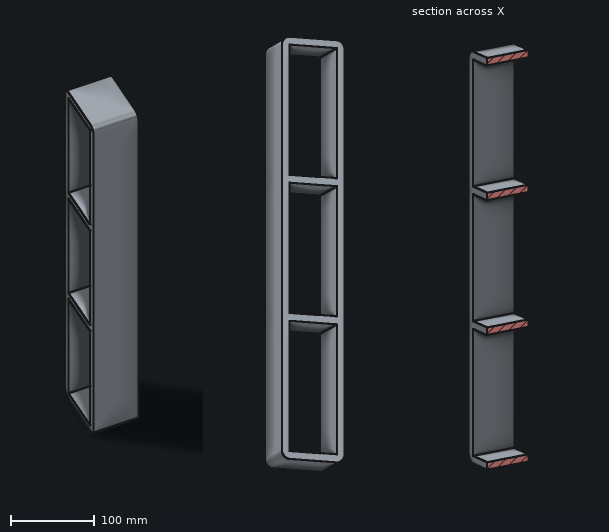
import cadquery as cq

width = 80.5
depth = 60.0
height = 518.5

wall = 10.0
corner_radius = 10.0
bay_count = 3

bay_width = width - 2 * wall
bay_height = (height - (bay_count + 1) * wall) / bay_count
bay_pitch = bay_height + wall


def make_body():
    """Upright block, centred on the origin, with its four front-to-back edges rounded."""
    block = cq.Workplane("XY").box(width, depth, height)
    return block.edges("|Y").fillet(corner_radius)


def make_bay(index):
    """One rectangular opening through the full depth, counted from the bottom."""
    center_z = (index - (bay_count - 1) / 2) * bay_pitch
    return cq.Workplane("XY").box(bay_width, depth, bay_height).translate((0, 0, center_z))


result = make_body()
for bay_index in range(bay_count):
    result = result.cut(make_bay(bay_index))